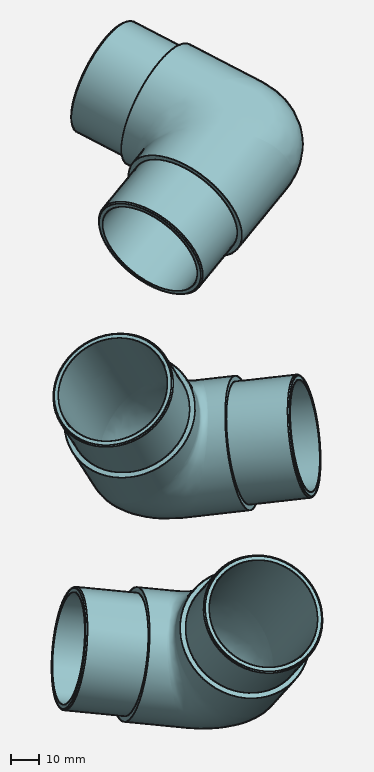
import cadquery as cq
import math

overall_length = 80.0
body_diameter = 48.3
shoulder_height = 2.0
spigot_wall = 2.0
spigot_length = 23.0
spigot_chamfer = 0.5
crotch_radius = 2.4
heel_radius = 24.3
bend_sections = 13

body_radius = body_diameter / 2
spigot_radius = body_radius - shoulder_height
bore_radius = spigot_radius - spigot_wall
end_distance = overall_length - body_radius
shoulder_distance = end_distance - spigot_length
body_wall = body_radius - bore_radius


def bend_section(tube_radius, inner_bend, outer_bend, angle):
    """Elliptical section of the bend; the bend radius grows steadily from crotch to heel."""
    mean_bend = (inner_bend + outer_bend) / 2
    bend_slope = (outer_bend - inner_bend) / (2 * tube_radius)
    setback_x = 1 - math.cos(angle)
    setback_y = 1 - math.sin(angle)
    center = cq.Vector(-mean_bend * setback_x, -mean_bend * setback_y, 0)
    across = cq.Vector(1 - bend_slope * setback_x, 1 - bend_slope * setback_y, 0)
    normal = across.cross(cq.Vector(0, 0, 1))
    return cq.Wire.makeEllipse(tube_radius * across.Length, tube_radius, center, normal, across)


def shoulder_circle(tube_radius, direction, across):
    """Circle on a shoulder plane, started at 'across' so that it lines up with the bend sections."""
    normal = across.cross(cq.Vector(0, 0, 1))
    return cq.Wire.makeEllipse(tube_radius, tube_radius, direction * shoulder_distance, normal, across)


def elbow(tube_radius, inner_bend, outer_bend):
    """Solid elbow that ends in a circle on each shoulder plane."""
    step = math.pi / 2 / (bend_sections - 1)
    sections = [
        bend_section(tube_radius, inner_bend, outer_bend, i * step) for i in range(bend_sections)
    ]
    y_end = shoulder_circle(tube_radius, cq.Vector(0, -1, 0), cq.Vector(1, 0, 0))
    x_end = shoulder_circle(tube_radius, cq.Vector(-1, 0, 0), cq.Vector(0, 1, 0))
    y_leg = cq.Solid.makeLoft([y_end, sections[0]], True)
    bend = cq.Solid.makeLoft(sections)
    x_leg = cq.Solid.makeLoft([sections[-1], x_end], True)
    return cq.Workplane(y_leg).union(cq.Workplane(bend)).union(cq.Workplane(x_leg))


def spigot(direction):
    """Bored spigot that stands on a shoulder plane, chamfered around its outer rim."""
    plane = cq.Plane(origin=direction * shoulder_distance, xDir=(0, 0, 1), normal=direction)
    return (
        cq.Workplane(plane)
        .circle(spigot_radius)
        .extrude(spigot_length)
        .faces(cq.selectors.DirectionMinMaxSelector(direction, True))
        .chamfer(spigot_chamfer)
        .cut(cq.Workplane(plane).circle(bore_radius).extrude(spigot_length))
    )


body = elbow(body_radius, crotch_radius, heel_radius)
bore = elbow(bore_radius, crotch_radius + body_wall, heel_radius - body_wall)
result = body.cut(bore)
for leg_direction in (cq.Vector(-1, 0, 0), cq.Vector(0, -1, 0)):
    result = result.union(spigot(leg_direction))